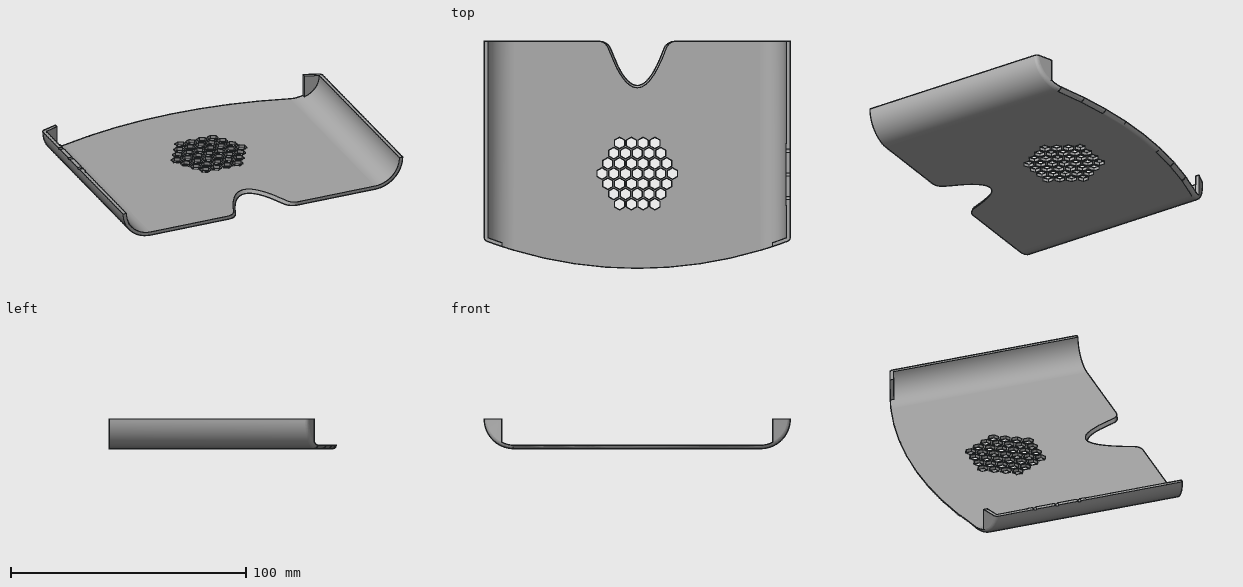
import cadquery as cq
import math

width = 130.2
length = 96.6
height = 12.8
wall = 1.5
half_width = width / 2
wall_center_x = half_width - height

front_radius = 182.3
front_edge_fillet = 1.8
lip_inner_x = 57.5

vent_y = -56.2
vent_rings = 3
vent_hole_flats = 4.2
vent_web = 0.83
vent_pitch = vent_hole_flats + vent_web

notch_top_half_width = 13.4
notch_top_depth = 19.8
notch_top_shoulder_x = 12.4
notch_bottom_half_width = 12.4
notch_bottom_depth = 18.7
notch_bottom_shoulder_x = 11.2

pad_face_x = 63.3
pad_length = 26.4
pad_y = -56.6
groove_count = 3
groove_pitch = 10.0
groove_width = 1.4
groove_depth = 0.45


def tray_section(inset):
    """Solid with the tray's cross-section, shrunk by inset, running the full length."""
    radius = height - inset
    diagonal = radius * math.sqrt(0.5)
    return (
        cq.Workplane("XZ")
        .moveTo(-wall_center_x - radius, height)
        .threePointArc(
            (-wall_center_x - diagonal, height - diagonal), (-wall_center_x, inset)
        )
        .lineTo(wall_center_x, inset)
        .threePointArc(
            (wall_center_x + diagonal, height - diagonal), (wall_center_x + radius, height)
        )
        .close()
        .extrude(length)
    )


def bowed_plan(inset):
    """Full-width block whose front follows the bowed edge, set back by inset."""
    radius = front_radius - inset
    corner_y = front_radius - length - math.sqrt(radius**2 - half_width**2)
    return (
        cq.Workplane("XY")
        .moveTo(-half_width, 0)
        .lineTo(-half_width, corner_y)
        .threePointArc((0, inset - length), (half_width, corner_y))
        .lineTo(half_width, 0)
        .close()
        .extrude(height)
    )


def make_shell():
    body = tray_section(0).intersect(bowed_plan(0))
    body = body.faces("<Y").edges("not(>Z)").fillet(front_edge_fillet)
    open_front = cq.Workplane("XY").box(
        2 * lip_inner_x, 2 * length, height, centered=(True, True, False)
    )
    cavity = tray_section(wall).intersect(bowed_plan(wall).union(open_front))
    return body.cut(cavity)


def notch_outline(plane, half_width_at_edge, depth, shoulder_x):
    """Parabola of the given size, joined to the back edge by tangent arcs."""
    shoulder_depth = depth * (1 - (shoulder_x / half_width_at_edge) ** 2)
    slope = 2 * depth * shoulder_x / half_width_at_edge**2
    turn = math.atan(slope)
    tangent_length = shoulder_depth / math.sin(turn)
    start_x = shoulder_x + shoulder_depth / slope + tangent_length
    radius = tangent_length / math.tan(turn / 2)
    arc_x = start_x - radius * math.sin(turn / 2)
    arc_y = radius * (math.cos(turn / 2) - 1)
    parabola_control = (0, shoulder_depth - 2 * depth)
    return (
        plane.moveTo(-start_x, 0)
        .threePointArc((-arc_x, arc_y), (-shoulder_x, -shoulder_depth))
        .bezier(
            [
                (-shoulder_x, -shoulder_depth),
                parabola_control,
                (shoulder_x, -shoulder_depth),
            ]
        )
        .threePointArc((arc_x, arc_y), (start_x, 0))
        .close()
    )


def make_notch():
    bottom = notch_outline(
        cq.Workplane("XY"),
        notch_bottom_half_width,
        notch_bottom_depth,
        notch_bottom_shoulder_x,
    )
    bottom_and_top = notch_outline(
        bottom.workplane(offset=wall),
        notch_top_half_width,
        notch_top_depth,
        notch_top_shoulder_x,
    )
    return bottom_and_top.loft(ruled=True)


def make_vent():
    row_pitch = vent_pitch * math.sqrt(3) / 2
    centers = []
    for row in range(-vent_rings, vent_rings + 1):
        holes_in_row = 2 * vent_rings + 1 - abs(row)
        for index in range(holes_in_row):
            along_row = (index - (holes_in_row - 1) / 2) * vent_pitch
            centers.append((row * row_pitch, along_row))
    corner_diameter = vent_hole_flats * 2 / math.sqrt(3)
    return (
        cq.Workplane("XY", origin=(0, vent_y, 0))
        .transformed(rotate=(0, 0, 90))
        .pushPoints(centers)
        .polygon(6, corner_diameter)
        .extrude(wall)
    )


def make_pad():
    block = cq.Workplane("XY").box(
        half_width - pad_face_x, pad_length, height, centered=(False, True, False)
    )
    return block.translate((pad_face_x, pad_y, 0)).intersect(tray_section(0))


def make_grooves():
    groove = (
        cq.Workplane("YZ", origin=(wall_center_x, pad_y, height))
        .moveTo(-groove_width / 2, 0)
        .threePointArc((0, -groove_depth), (groove_width / 2, 0))
        .close()
        .extrude(height)
    )
    grooves = cq.Workplane("XY")
    for index in range(groove_count):
        offset = (index - (groove_count - 1) / 2) * groove_pitch
        grooves = grooves.add(groove.translate((0, offset, 0)))
    return grooves.combine()


result = (
    make_shell()
    .union(make_pad())
    .cut(make_notch())
    .cut(make_vent())
    .cut(make_grooves())
)